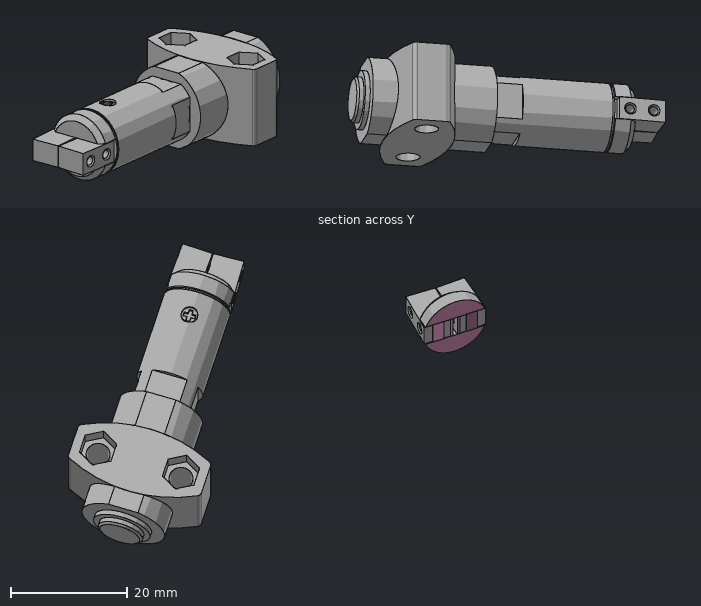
import cadquery as cq
import math


TOTAL_LENGTH = 54.1
BACK_END = 11.45
TIP_END = BACK_END - TOTAL_LENGTH

SLEEVE_DIAMETER = 15.0
SLEEVE_ACROSS_FLATS = 14.0
SLEEVE_LENGTH = 21.95
SLEEVE_BACK = 9.4
SLEEVE_FRONT = SLEEVE_BACK - SLEEVE_LENGTH
FLANGE_WIDTH = 24.0
FLANGE_HEIGHT = 14.2
FLANGE_DEPTH = 12.1
FLANGE_END_DEPTH = 6.2
FLANGE_CORNER_RADIUS = 0.8
MOUNT_SPACING = SLEEVE_DIAMETER
MOUNT_HOLE_DIAMETER = 4.1
NUT_ACROSS_FLATS = 5.7
NUT_POCKET_DEPTH = 3.0

BODY_DIAMETER = 12.0
SHANK_DIAMETER = 10.2
CAP_DIAMETER = 8.0
CAP_LENGTH = 1.2
CAP_CHAMFER = 0.4
NECK_LENGTH = 4.85
NECK_FRONT = SLEEVE_FRONT - NECK_LENGTH
GROOVE_BACK = -33.3
GROOVE_WIDTH = 0.3
GROOVE_DIAMETER = 11.7
GROOVE_FRONT = GROOVE_BACK - GROOVE_WIDTH
HEAD_FRONT = -37.5
HEAD_CHAMFER = 1.0
HEAD_BACK_CHAMFER = (BODY_DIAMETER - GROOVE_DIAMETER) / 2

SCREW_Y = -28.85
SCREW_DIAMETER = 2.85
SCREW_SINK = 0.45
SCREW_TOP = BODY_DIAMETER / 2 - SCREW_SINK
CROSS_SPAN = 2.1
CROSS_ARM_WIDTH = 0.7
CROSS_DEPTH = 0.55

JAW_WIDTH = 5.5
JAW_HEIGHT = 4.0
JAW_LENGTH = 8.2
JAW_TILT = 2.0
JAW_TIP_OUTER_X = 5.6
JAW_HOLE_DIAMETER = 1.5
JAW_HOLE_CHAMFER = 0.25
JAW_HOLE_FROM_TIP = 2.05
JAW_HOLE_SPACING = 4.2
TONGUE_INSET = 1.6
TONGUE_WIDTH = 2.15
TONGUE_LENGTH = 1.6
SLOT_FLOOR = GROOVE_FRONT


def cylinder_y(diameter, back, front):
    """Cylinder on the tool axis between two Y stations."""
    return cq.Workplane("XZ", origin=(0, back, 0)).circle(diameter / 2).extrude(back - front)


def box_y(width, height, back, front):
    """Box centred on the tool axis between two Y stations."""
    return cq.Workplane("XZ", origin=(0, back, 0)).rect(width, height).extrude(back - front)


def make_flange():
    """Flange bounded by two shallow arcs and two straight ends."""
    half_width = FLANGE_WIDTH / 2
    half_depth = FLANGE_DEPTH / 2
    half_end = FLANGE_END_DEPTH / 2
    return (
        cq.Workplane("XY", origin=(0, 0, -FLANGE_HEIGHT / 2))
        .moveTo(-half_width, -half_end)
        .threePointArc((0, -half_depth), (half_width, -half_end))
        .lineTo(half_width, half_end)
        .threePointArc((0, half_depth), (-half_width, half_end))
        .close()
        .extrude(FLANGE_HEIGHT)
        .edges("|Z")
        .fillet(FLANGE_CORNER_RADIUS)
    )


def cut_mounting_holes(holder):
    """Two vertical through holes with hexagonal nut pockets in the top face."""
    centres = [(-MOUNT_SPACING / 2, 0), (MOUNT_SPACING / 2, 0)]
    nut_across_corners = NUT_ACROSS_FLATS / math.cos(math.pi / 6)
    holes = (
        cq.Workplane("XY", origin=(0, 0, -FLANGE_HEIGHT / 2))
        .pushPoints(centres)
        .circle(MOUNT_HOLE_DIAMETER / 2)
        .extrude(FLANGE_HEIGHT)
    )
    top_plane = cq.Plane(origin=(0, 0, FLANGE_HEIGHT / 2), xDir=(0, 1, 0), normal=(0, 0, 1))
    pockets = (
        cq.Workplane(top_plane)
        .pushPoints([(y, -x) for x, y in centres])
        .polygon(6, nut_across_corners)
        .extrude(-NUT_POCKET_DEPTH)
    )
    return holder.cut(holes).cut(pockets)


def make_holder():
    sleeve = cylinder_y(SLEEVE_DIAMETER, SLEEVE_BACK, SLEEVE_FRONT)
    flats = box_y(SLEEVE_DIAMETER, SLEEVE_ACROSS_FLATS, SLEEVE_BACK, SLEEVE_FRONT)
    holder = sleeve.intersect(flats).union(make_flange())
    bore = cylinder_y(SHANK_DIAMETER, SLEEVE_BACK, SLEEVE_FRONT)
    return cut_mounting_holes(holder.cut(bore))


def cut_screw(body):
    """Sunken round screw head with a cross recess."""
    seat = (
        cq.Workplane("XY", origin=(0, SCREW_Y, SCREW_TOP))
        .circle(SCREW_DIAMETER / 2)
        .extrude(SCREW_SINK)
    )
    cross_plane = cq.Workplane("XY", origin=(0, SCREW_Y, SCREW_TOP))
    arm_along_x = cross_plane.rect(CROSS_SPAN, CROSS_ARM_WIDTH).extrude(-CROSS_DEPTH)
    arm_along_y = cross_plane.rect(CROSS_ARM_WIDTH, CROSS_SPAN).extrude(-CROSS_DEPTH)
    return body.cut(seat).cut(arm_along_x).cut(arm_along_y)


def make_body():
    cap_front = BACK_END - CAP_LENGTH
    cap = cylinder_y(CAP_DIAMETER, BACK_END, cap_front).faces(">Y").chamfer(CAP_CHAMFER)
    shank = cylinder_y(SHANK_DIAMETER, cap_front, SLEEVE_FRONT)
    neck = cylinder_y(BODY_DIAMETER, SLEEVE_FRONT, NECK_FRONT).intersect(
        box_y(SHANK_DIAMETER, SHANK_DIAMETER, SLEEVE_FRONT, NECK_FRONT)
    )
    barrel = cylinder_y(BODY_DIAMETER, NECK_FRONT, GROOVE_BACK)
    groove_core = cylinder_y(GROOVE_DIAMETER, GROOVE_BACK, GROOVE_FRONT)
    head = (
        cylinder_y(BODY_DIAMETER, GROOVE_FRONT, HEAD_FRONT)
        .faces("<Y").chamfer(HEAD_CHAMFER)
        .faces(">Y").chamfer(HEAD_BACK_CHAMFER)
    )
    body = cap.union(shank).union(neck).union(barrel).union(groove_core).union(head)
    jaw_slot = box_y(BODY_DIAMETER, JAW_HEIGHT, SLOT_FLOOR, HEAD_FRONT)
    return cut_screw(body.cut(jaw_slot))


def make_jaw(side):
    """Tilted jaw with two cross holes; side is -1 for the -X jaw and +1 for the +X jaw."""
    outer = side * JAW_TIP_OUTER_X
    inner = outer - side * JAW_WIDTH
    tongue_outer = outer - side * TONGUE_INSET
    tongue_inner = tongue_outer - side * TONGUE_WIDTH
    jaw_back = TIP_END + JAW_LENGTH
    tongue_back = jaw_back + TONGUE_LENGTH
    jaw = (
        cq.Workplane("XY", origin=(0, 0, -JAW_HEIGHT / 2))
        .polyline([
            (outer, TIP_END),
            (inner, TIP_END),
            (inner, jaw_back),
            (tongue_inner, jaw_back),
            (tongue_inner, tongue_back),
            (tongue_outer, tongue_back),
            (tongue_outer, jaw_back),
            (outer, jaw_back),
        ])
        .close()
        .extrude(JAW_HEIGHT)
    )
    inwards = cq.Vector(-side, 0, 0)
    mouth_radius = JAW_HOLE_DIAMETER / 2 + JAW_HOLE_CHAMFER
    for index in range(2):
        hole_y = TIP_END + JAW_HOLE_FROM_TIP + index * JAW_HOLE_SPACING
        start = cq.Vector(outer, hole_y, 0)
        hole = cq.Solid.makeCylinder(JAW_HOLE_DIAMETER / 2, JAW_WIDTH, start, inwards)
        mouth = cq.Solid.makeCone(
            mouth_radius, JAW_HOLE_DIAMETER / 2, JAW_HOLE_CHAMFER, start, inwards
        )
        jaw = jaw.cut(cq.Workplane(hole)).cut(cq.Workplane(mouth))
    jaw = jaw.rotate((outer, TIP_END, 0), (outer, TIP_END, 1), -side * JAW_TILT)
    behind_slot = box_y(BODY_DIAMETER, JAW_HEIGHT, SLOT_FLOOR + TONGUE_LENGTH, SLOT_FLOOR)
    return jaw.cut(behind_slot)


holder = make_holder()
body = make_body()
jaws = [make_jaw(side) for side in (-1, 1)]

result = cq.Compound.makeCompound([holder.val(), body.val(), *[jaw.val() for jaw in jaws]])